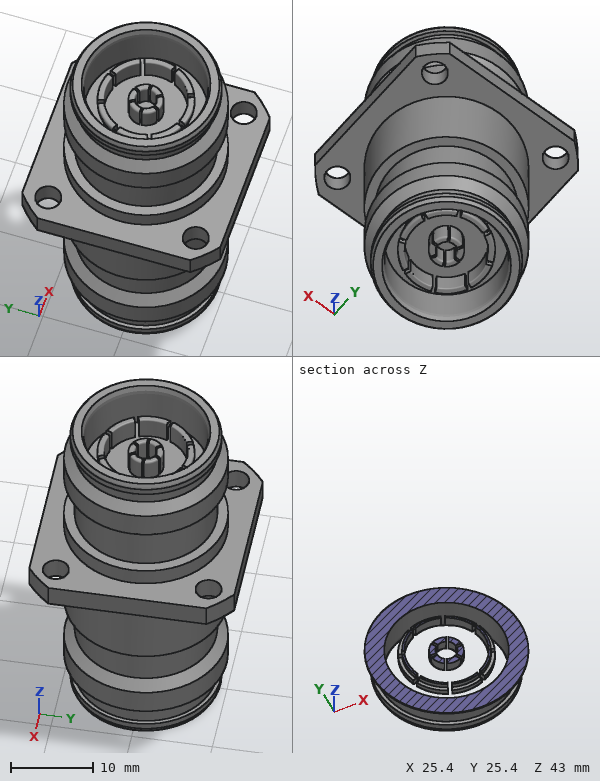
import cadquery as cq

total_length = 43.0
half_length = total_length / 2

lip_radius = 9.25
neck_radius = 8.75
body_radius = 10.0

lip_end = 1.5
collar_cone_start = 3.35
collar_start = 4.5
collar_end = 7.75
collar_cone_end = 8.95
body_start = 14.05

lip_face_radius = 8.95
lip_nose_radius = 9.15
lip_nose_depth = 0.45
lip_full_depth = 0.7

socket_mouth_radius = 7.85
socket_throat_radius = 7.6
socket_bore_radius = 7.55
throat_depth = 0.65
bore_start_depth = 1.1
socket_depth = 6.0

contact_tip_depth = 3.22
contact_edge_radius = 0.25
bead_radius = 5.95
bead_length = 0.85
outer_contact_wall_radius = 5.45
outer_contact_bore_radius = 5.1
outer_contact_inner_edge_radius = 0.17
outer_contact_slots = 8
outer_contact_slot_width = 0.5
pin_radius = 2.15
pin_bore_radius = 1.35
pin_slots = 6
pin_slot_width = 0.25

flange_width = 25.4
flange_corner_radius = 16.05
flange_top_depth = 16.25
flange_top = half_length - flange_top_depth
flange_thickness = 2.75
mount_hole_spacing = 18.9
mount_hole_diameter = 3.2


def revolved(profile):
    """Full turn about Z of a closed outline given as (radius, z) points."""
    return cq.Workplane("XZ").polyline(profile).close().revolve(360, (0, 0), (0, 1))


def body():
    """Turned outer body, with the same stepped outline toward both ends."""
    upper_outline = [
        (body_radius, half_length - body_start),
        (neck_radius, half_length - body_start),
        (neck_radius, half_length - collar_cone_end),
        (body_radius, half_length - collar_end),
        (body_radius, half_length - collar_start),
        (neck_radius, half_length - collar_cone_start),
        (neck_radius, half_length - lip_end),
        (lip_radius, half_length - lip_end),
        (lip_radius, half_length - lip_full_depth),
        (lip_nose_radius, half_length - lip_nose_depth),
        (lip_face_radius, half_length),
        (0, half_length),
    ]
    lower_outline = [(radius, -z) for radius, z in reversed(upper_outline)]
    return revolved(lower_outline + upper_outline)


def socket():
    """Space removed from the upper end to form the socket."""
    profile = [
        (0, half_length - socket_depth),
        (socket_bore_radius, half_length - socket_depth),
        (socket_bore_radius, half_length - bore_start_depth),
        (socket_throat_radius, half_length - throat_depth),
        (socket_mouth_radius, half_length),
        (0, half_length),
    ]
    return revolved(profile)


def outer_contact():
    """Split thin-walled ring with a bead round the outside of its tip."""
    floor_z = half_length - socket_depth
    tip_z = half_length - contact_tip_depth
    profile = [
        (outer_contact_bore_radius, floor_z),
        (outer_contact_wall_radius, floor_z),
        (outer_contact_wall_radius, tip_z - bead_length),
        (bead_radius, tip_z - bead_length),
        (bead_radius, tip_z),
        (outer_contact_bore_radius, tip_z),
    ]
    ring = revolved(profile)
    outer_edge = cq.selectors.RadiusNthSelector(-1)
    inner_edge = cq.selectors.RadiusNthSelector(0)
    ring = ring.faces(">Z").edges(outer_edge).fillet(contact_edge_radius)
    ring = ring.faces(">Z").edges(inner_edge).fillet(outer_contact_inner_edge_radius)
    first_angle = 180 / outer_contact_slots
    return split(ring, outer_contact_slots, outer_contact_slot_width, first_angle)


def pin():
    """Split tubular centre contact with rounded tip edges."""
    floor = cq.Workplane("XY").workplane(offset=half_length - socket_depth)
    tube = floor.circle(pin_radius).circle(pin_bore_radius).extrude(socket_depth - contact_tip_depth)
    tube = tube.faces(">Z").edges().fillet(contact_edge_radius)
    return split(tube, pin_slots, pin_slot_width, 0)


def split(tube, slot_count, slot_width, first_angle):
    """Cut evenly spaced radial slots through a contact, down to the socket floor."""
    floor = cq.Workplane("XY").workplane(offset=half_length - socket_depth)
    cutter = floor.rect(2 * socket_bore_radius, slot_width).extrude(socket_depth)
    for index in range(slot_count // 2):
        angle = first_angle + index * 360 / slot_count
        tube = tube.cut(cutter.rotate((0, 0, 0), (0, 0, 1), angle))
    return tube


def flange():
    """Square plate with arc-trimmed corners and four mounting holes."""
    base = cq.Workplane("XY").workplane(offset=flange_top - flange_thickness)
    plate = base.rect(flange_width, flange_width).extrude(flange_thickness)
    plate = plate.intersect(base.circle(flange_corner_radius).extrude(flange_thickness))
    holes = base.rect(mount_hole_spacing, mount_hole_spacing, forConstruction=True).vertices()
    return plate.cut(holes.circle(mount_hole_diameter / 2).extrude(flange_thickness))


upper_socket = socket()
upper_contacts = outer_contact().union(pin())

result = body().union(flange())
result = result.cut(upper_socket).cut(upper_socket.mirror("XY"))
result = result.union(upper_contacts).union(upper_contacts.mirror("XY"))